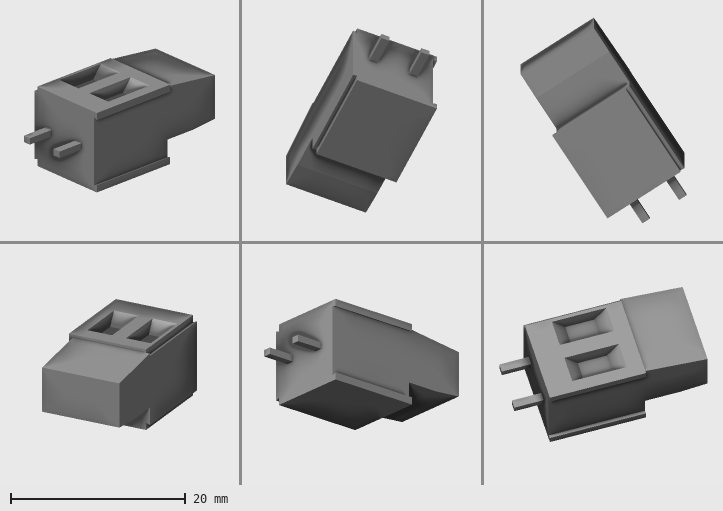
import cadquery as cq

pole_count = 2
pitch = 5.0
body_width = pole_count * pitch
body_length = 11.5
body_height = 10.0

rail_depth = 0.5
rail_outer_inset = 0.9
rail_inner_inset = 0.7

plug_length = 7.5
plug_top_root = 4.6
plug_top_tip = 3.7
plug_bottom_root = -2.1
plug_bottom_tip = -1.8
plug_bottom_taper_length = 3.25

opening_width = 3.2
opening_length = 6.5
opening_floor_width = 2.6
opening_floor_length = 3.5
opening_depth = 1.4
opening_center_y = 6.35

pin_width = 1.0
pin_height = 0.8
pin_length = 3.5

left = -body_width / 2
right = body_width / 2
half_height = body_height / 2
narrow_z = half_height - rail_outer_inset
wide_z = half_height - rail_inner_inset
pole_centers = [(i - (pole_count - 1) / 2) * pitch for i in range(pole_count)]


def make_housing():
    """Constant cross-section, with dovetail tongue and groove, along Y."""
    left_rail = left + rail_depth
    right_rail = right + rail_depth
    outline = [
        (left_rail, half_height),
        (right_rail, half_height),
        (right_rail, narrow_z),
        (right, wide_z),
        (right, -wide_z),
        (right_rail, -narrow_z),
        (right_rail, -half_height),
        (left_rail, -half_height),
        (left_rail, -narrow_z),
        (left, -wide_z),
        (left, wide_z),
        (left_rail, narrow_z),
    ]
    return cq.Workplane("XZ").polyline(outline).close().extrude(-body_length)


def make_plug():
    """Tapered side profile spanning the full pole width."""
    tip_y = body_length + plug_length
    profile = [
        (body_length, plug_top_root),
        (tip_y, plug_top_tip),
        (tip_y, plug_bottom_tip),
        (tip_y - plug_bottom_taper_length, plug_bottom_root),
        (body_length, plug_bottom_root),
    ]
    return cq.Workplane("YZ", origin=(left, 0, 0)).polyline(profile).close().extrude(body_width)


def make_opening(center_x):
    """Cutter that narrows from the top face down to the opening floor."""
    return (
        cq.Workplane("XY", origin=(center_x, opening_center_y, half_height))
        .rect(opening_width, opening_length)
        .workplane(offset=-opening_depth)
        .rect(opening_floor_width, opening_floor_length)
        .loft(ruled=True)
    )


def make_pin(center_x):
    """Rectangular pin projecting forward from the housing front."""
    return cq.Workplane("XZ", origin=(center_x, 0, 0)).rect(pin_width, pin_height).extrude(pin_length)


result = make_housing().union(make_plug())
for pole_x in pole_centers:
    result = result.cut(make_opening(pole_x)).union(make_pin(pole_x))